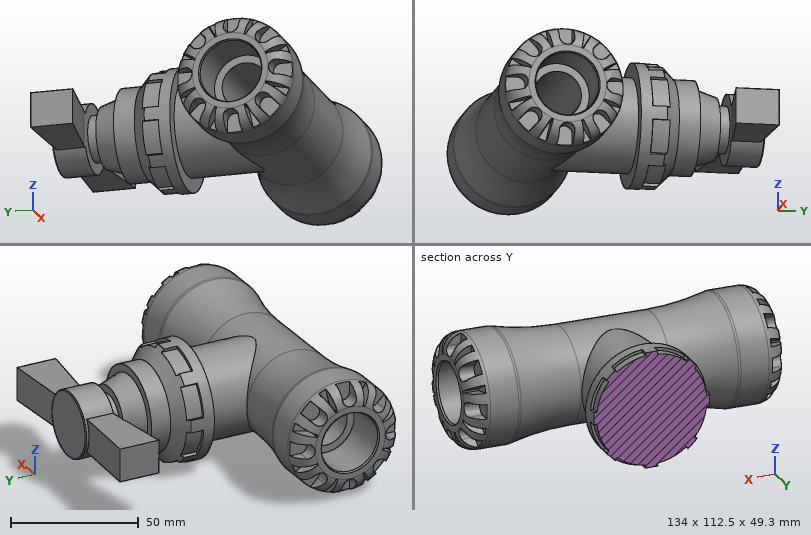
import cadquery as cq
import math

run_length = 134.0
end_diameter = 47.0
waist_diameter = 39.9
waist_length = 38.3
flare_end = 46.5
flare_blend = 4.0
end_fillet = 8.0

bore_diameter = 18.8
socket_diameter = 25.0
socket_depth = 20.1
socket_chamfer = 0.4
socket_chamfer_depth = 0.8

slot_count = 8
slot_depth = 6.5
slot_width = 6.2
slot_inner_radius = 15.7
wedge_tip_radius = 13.8
wedge_half_angle = 9.8

overall_depth = 112.5
stack_top = overall_depth - end_diameter / 2
neck_diameter = 37.7
nut_diameter = 49.3
nut_bottom = 37.5
nut_rim_top = 48.0
neck_top = 62.3
cone_bottom_diameter = 31.1
cone_top_diameter = 25.0
cone_top = 71.4
stem_diameter = 18.8

recess_count = 8
recess_angle = 32.5
recess_depth = 1.2
recess_bottom = 42.2
recess_top = 49.5

hub_diameter = 28.1
hub_bottom = 75.7
hub_chamfer = 0.4
handle_span = 84.7
wing_thickness = 14.2
wing_top_drop = 1.5
wing_tip_bottom = 71.8

cutter_margin = 1.3

end_radius = end_diameter / 2
neck_radius = neck_diameter / 2
nut_radius = nut_diameter / 2
half_run = run_length / 2


def rotated_copies(solid, count, axis_end, first_angle=0.0):
    """Copies of a solid spaced evenly around an axis through the origin."""
    copies = cq.Workplane("XY")
    for i in range(count):
        angle = first_angle + i * 360.0 / count
        copies = copies.add(solid.rotate((0, 0, 0), axis_end, angle))
    return copies.combine()


def flare_middle():
    """Point halfway along the -X flare, an arc that is tangent to the waist."""
    length = flare_end - waist_length / 2
    rise = end_radius - waist_diameter / 2
    radius = (length**2 + rise**2) / (2 * rise)
    half_sweep = math.asin(length / radius) / 2
    x = -waist_length / 2 - radius * math.sin(half_sweep)
    return x, waist_diameter / 2 + radius * (1 - math.cos(half_sweep))


def make_run():
    """Solid run: filleted end caps, concave flares and a straight waist."""
    fillet_mid = end_fillet * (1 - math.sqrt(0.5))
    half = (
        cq.Workplane("XY")
        .moveTo(0, 0)
        .lineTo(-half_run, 0)
        .lineTo(-half_run, end_radius - end_fillet)
        .threePointArc(
            (-half_run + fillet_mid, end_radius - fillet_mid),
            (-half_run + end_fillet, end_radius),
        )
        .lineTo(-flare_end, end_radius)
        .threePointArc(flare_middle(), (-waist_length / 2, waist_diameter / 2))
        .lineTo(0, waist_diameter / 2)
        .close()
        .revolve(360, (0, 0, 0), (1, 0, 0))
        .edges(cq.NearestToPointSelector((-flare_end, 0, 0)))
        .fillet(flare_blend)
    )
    return half.union(half.mirror("YZ"))


def make_end_slots():
    """Cutters for the -X end: round-bottomed slots alternating with narrow wedges."""
    slot_outer = end_radius + cutter_margin
    arc_center = slot_inner_radius + slot_width / 2
    end_plane = cq.Workplane("YZ", origin=(-half_run, 0, 0))
    slot = (
        end_plane.moveTo(slot_outer, -slot_width / 2)
        .lineTo(arc_center, -slot_width / 2)
        .threePointArc((slot_inner_radius, 0), (arc_center, slot_width / 2))
        .lineTo(slot_outer, slot_width / 2)
        .close()
        .extrude(slot_depth)
    )
    spread = math.tan(math.radians(wedge_half_angle))
    inner_half = (slot_inner_radius - wedge_tip_radius) * spread
    outer_half = (slot_outer - wedge_tip_radius) * spread
    wedge = (
        end_plane.moveTo(slot_inner_radius, -inner_half)
        .lineTo(slot_outer, -outer_half)
        .lineTo(slot_outer, outer_half)
        .lineTo(slot_inner_radius, inner_half)
        .close()
        .extrude(slot_depth)
    )
    slots = rotated_copies(slot, slot_count, (1, 0, 0))
    wedges = rotated_copies(wedge, slot_count, (1, 0, 0), 180.0 / slot_count)
    return slots.add(wedges).combine()


def make_passage():
    """Through bore with a chamfered socket in each end."""
    socket_radius = socket_diameter / 2
    half = (
        cq.Workplane("XY")
        .polyline([
            (0, 0),
            (-half_run, 0),
            (-half_run, socket_radius + socket_chamfer),
            (-half_run + socket_chamfer_depth, socket_radius),
            (-half_run + socket_depth, socket_radius),
            (-half_run + socket_depth, bore_diameter / 2),
            (0, bore_diameter / 2),
        ])
        .close()
        .revolve(360, (0, 0, 0), (1, 0, 0))
    )
    return half.union(half.mirror("YZ"))


def make_valve_stack():
    """Branch neck, union nut, cone, stem and handle hub, turned about Y."""
    hub_radius = hub_diameter / 2
    nut_shoulder = nut_rim_top + nut_radius - neck_radius
    return (
        cq.Workplane("XY")
        .polyline([
            (0, 0),
            (neck_radius, 0),
            (neck_radius, nut_bottom),
            (nut_radius, nut_bottom),
            (nut_radius, nut_rim_top),
            (neck_radius, nut_shoulder),
            (neck_radius, neck_top),
            (cone_bottom_diameter / 2, neck_top),
            (cone_top_diameter / 2, cone_top),
            (stem_diameter / 2, cone_top),
            (stem_diameter / 2, hub_bottom),
            (hub_radius, hub_bottom),
            (hub_radius, stack_top - hub_chamfer),
            (hub_radius - hub_chamfer, stack_top),
            (0, stack_top),
        ])
        .close()
        .revolve(360, (0, 0, 0), (0, 1, 0))
    )


def make_nut_recesses():
    """Shallow cutters around the nut, the first one half a pitch from +X."""
    recess = (
        cq.Workplane("XY")
        .moveTo(nut_radius - recess_depth, recess_bottom)
        .lineTo(nut_radius + cutter_margin, recess_bottom)
        .lineTo(nut_radius + cutter_margin, recess_top)
        .lineTo(nut_radius - recess_depth, recess_top)
        .close()
        .revolve(recess_angle, (0, 0, 0), (0, 1, 0))
    )
    first_angle = 180.0 / recess_count - recess_angle / 2
    return rotated_copies(recess, recess_count, (0, 1, 0), first_angle)


def make_wings():
    """Two handle wings that grow taller towards their tips."""
    root_x = hub_diameter / 2
    root_top = stack_top - wing_top_drop
    tip_x = handle_span / 2
    wing = (
        cq.Workplane("XY")
        .polyline([
            (0, hub_bottom),
            (root_x, hub_bottom),
            (tip_x, wing_tip_bottom),
            (tip_x, stack_top),
            (root_x, root_top),
            (0, root_top),
        ])
        .close()
        .extrude(wing_thickness / 2, both=True)
    )
    return wing.union(wing.mirror("YZ"))


end_slots = make_end_slots()
valve = make_valve_stack().cut(make_nut_recesses()).union(make_wings())
result = (
    make_run()
    .union(valve)
    .cut(make_passage())
    .cut(end_slots)
    .cut(end_slots.mirror("YZ"))
)